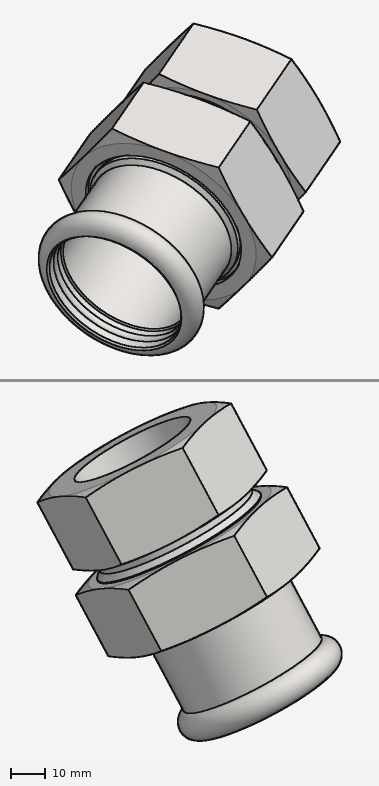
import cadquery as cq
import math

LENGTH = 84.5

NUT_FLATS = 60.0
NUT_START = 32.0
NUT_END = 55.0
END_HEX_FLATS = 55.0
END_HEX_START = 59.7
HEX_CHAMFER_ANGLE = 15.0

BEAD_DIAMETER = 52.65
BEAD_WIDTH = 9.2
BEAD_RADIUS = BEAD_WIDTH / 2
TUBE_DIAMETER = 45.4

COLLAR_DIAMETER = 48.2
SHOULDER_START = 30.8
SHOULDER_END = SHOULDER_START + (COLLAR_DIAMETER - TUBE_DIAMETER) / 2
NUT_OPENING_DIAMETER = 50.5
NUT_OPENING_DEPTH = 1.7

NECK_DIAMETER = 50.0
CONE_DIAMETER = 53.7
CONE_START = 55.35
CONE_END = CONE_START + (CONE_DIAMETER - NECK_DIAMETER) / 2

MOUTH_DIAMETER = 43.8
LIP_DIAMETER = 42.7
LIP_CHAMFER_DEPTH = 0.7
SEAL_START = 3.3
SEAL_END = 5.75
SEAL_DIAMETER = 41.6
SOCKET_DIAMETER = 42.4
STEP_START = 7.8
STEP_LENGTH = 0.5
INNER_SOCKET_DIAMETER = 41.4
SOCKET_DEPTH = 33.8
STOP_CHAMFER_DIAMETER = 40.1
STOP_CHAMFER_LENGTH = 0.6
BORE_DIAMETER = 38.0
BORE_MOUTH_DIAMETER = 38.7
BORE_CHAMFER_LENGTH = 0.3


def cylinder(diameter, start, end):
    """Solid cylinder about the Y axis between two Y positions."""
    return cq.Workplane("XZ", origin=(0, start, 0)).circle(diameter / 2).extrude(start - end)


def cone(start_diameter, end_diameter, start, end):
    """Solid cone frustum about the Y axis between two Y positions."""
    profile = [(0, start), (start_diameter / 2, start), (end_diameter / 2, end), (0, end)]
    return cq.Workplane("XY").polyline(profile).close().revolve(360, (0, 0, 0), (0, 1, 0))


def chamfered_hexagon(flats, start, end):
    """Hexagon with corners on X, its ends turned down to the across-flats circle."""
    corner_radius = flats / math.sqrt(3)
    flat_radius = flats / 2
    chamfer = (corner_radius - flat_radius) * math.tan(math.radians(HEX_CHAMFER_ANGLE))
    prism = cq.Workplane("XZ", origin=(0, start, 0)).polygon(6, 2 * corner_radius).extrude(start - end)
    turned = (
        cq.Workplane("XY")
        .moveTo(0, start)
        .lineTo(flat_radius, start)
        .lineTo(corner_radius, start + chamfer)
        .lineTo(corner_radius, end - chamfer)
        .lineTo(flat_radius, end)
        .lineTo(0, end)
        .close()
        .revolve(360, (0, 0, 0), (0, 1, 0))
    )
    return prism.intersect(turned)


def union_nut():
    """Front hexagon with a shallow round opening around the collar."""
    opening = cylinder(NUT_OPENING_DIAMETER, NUT_START, NUT_START + NUT_OPENING_DEPTH)
    return chamfered_hexagon(NUT_FLATS, NUT_START, NUT_END).cut(opening)


def bead():
    """Rolled rim of the socket, fully rounded on the outside."""
    crown_start = BEAD_DIAMETER / 2 - BEAD_RADIUS
    return (
        cq.Workplane("XY")
        .lineTo(crown_start, 0)
        .threePointArc((BEAD_DIAMETER / 2, BEAD_RADIUS), (crown_start, BEAD_WIDTH))
        .lineTo(0, BEAD_WIDTH)
        .close()
        .revolve(360, (0, 0, 0), (0, 1, 0))
    )


def inner_space():
    """Mouth, lip, seal bulge, socket and through bore as one revolved space."""
    return (
        cq.Workplane("XY")
        .lineTo(MOUTH_DIAMETER / 2, 0)
        .lineTo(LIP_DIAMETER / 2, LIP_CHAMFER_DEPTH)
        .lineTo(LIP_DIAMETER / 2, SEAL_START)
        .threePointArc((SEAL_DIAMETER / 2, (SEAL_START + SEAL_END) / 2), (SOCKET_DIAMETER / 2, SEAL_END))
        .lineTo(SOCKET_DIAMETER / 2, STEP_START)
        .lineTo(INNER_SOCKET_DIAMETER / 2, STEP_START + STEP_LENGTH)
        .lineTo(INNER_SOCKET_DIAMETER / 2, SOCKET_DEPTH)
        .lineTo(STOP_CHAMFER_DIAMETER / 2, SOCKET_DEPTH + STOP_CHAMFER_LENGTH)
        .lineTo(BORE_MOUTH_DIAMETER / 2, SOCKET_DEPTH + STOP_CHAMFER_LENGTH)
        .lineTo(BORE_DIAMETER / 2, SOCKET_DEPTH + STOP_CHAMFER_LENGTH + BORE_CHAMFER_LENGTH)
        .lineTo(BORE_DIAMETER / 2, LENGTH)
        .lineTo(0, LENGTH)
        .close()
        .revolve(360, (0, 0, 0), (0, 1, 0))
    )


body = (
    bead()
    .union(cylinder(TUBE_DIAMETER, BEAD_RADIUS, NUT_END))
    .union(cone(TUBE_DIAMETER, COLLAR_DIAMETER, SHOULDER_START, SHOULDER_END))
    .union(cylinder(COLLAR_DIAMETER, SHOULDER_END, NUT_END))
    .union(union_nut())
    .union(cylinder(CONE_DIAMETER, NUT_END, CONE_START))
    .union(cone(CONE_DIAMETER, NECK_DIAMETER, CONE_START, CONE_END))
    .union(cylinder(NECK_DIAMETER, CONE_END, END_HEX_START))
    .union(chamfered_hexagon(END_HEX_FLATS, END_HEX_START, LENGTH))
)

result = body.cut(inner_space())